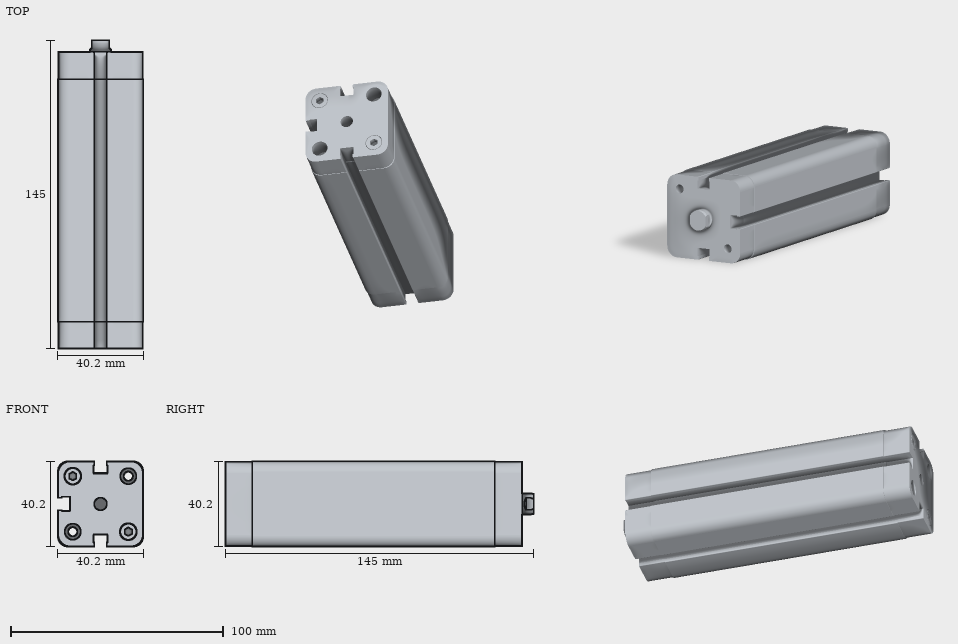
import cadquery as cq
import math

total_length = 145
rod_projection = 5.5
cap_length = 12.8
rear_y = -total_length / 2
front_y = total_length / 2 - rod_projection
tube_rear_y = rear_y + cap_length
tube_front_y = front_y - cap_length

cap_side = 39.7
cap_corner_radius = 5.2
tube_side = 40.2
tube_corner_radius = 5.0

slot_mouth_width = 5.8
slot_inner_width = 6.5
slot_lip = 1.7
slot_mouth_radius = 0.3
cap_slot_depth = 5.7
tube_slot_depth = 5.5
slot_angles = (0, -90, 180)

fixing_offset = 13
through_diameter = 4.2
counterbore_diameter = 7.5
counterbore_depth = 10.0
screw_recess_diameter = 8.0
screw_head_diameter = 7.5
screw_gap_depth = 1.5
hex_across_flats = 3.5
hex_depth = 2.9

centre_hole_diameter = 6.0
centre_hole_depth = 10.0

rod_diameter = 10.0
rod_tip_length = 1.3
rod_tip_step = 0.3
flats_across = 8.3
flat_length = 3.6


def profile_bar(side, corner_radius, slot_depth, start_y, end_y):
    """Rounded square bar along Y with a T slot in its -X, +Z and -Z faces."""
    length = end_y - start_y
    middle_y = (start_y + end_y) / 2
    bar = cq.Workplane("XY").box(side, length, side).edges("|Y").fillet(corner_radius)
    mouth = cq.Workplane("XY").box(slot_mouth_width, length, slot_depth)
    mouth = mouth.translate((0, 0, (side - slot_depth) / 2))
    inner_height = slot_depth - slot_lip
    inner = cq.Workplane("XY").box(slot_inner_width, length, inner_height)
    inner = inner.translate((0, 0, side / 2 - slot_lip - inner_height / 2))
    half_mouth = slot_mouth_width / 2
    round_start_z = side / 2 - slot_mouth_radius
    flare = (
        cq.Workplane("XZ", origin=(0, length / 2, 0))
        .moveTo(-half_mouth - slot_mouth_radius, side / 2)
        .lineTo(half_mouth + slot_mouth_radius, side / 2)
        .radiusArc((half_mouth, round_start_z), -slot_mouth_radius)
        .lineTo(-half_mouth, round_start_z)
        .radiusArc((-half_mouth - slot_mouth_radius, side / 2), -slot_mouth_radius)
        .close()
        .extrude(length)
    )
    slot = mouth.union(inner).union(flare)
    for angle in slot_angles:
        bar = bar.cut(slot.rotate((0, 0, 0), (0, 1, 0), angle))
    return bar.translate((0, middle_y, 0))


def round_along_y(diameter, x, z, start_y, end_y):
    """Solid round bar parallel to Y."""
    direction = cq.Vector(0, 1, 0)
    return cq.Workplane(
        cq.Solid.makeCylinder(diameter / 2, end_y - start_y, cq.Vector(x, start_y, z), direction)
    )


def screw_cutout(x, z):
    """Material removed around a flush screw head: thin ring gap and hex socket."""
    gap = round_along_y(screw_recess_diameter, x, z, rear_y, rear_y + screw_gap_depth)
    head = round_along_y(screw_head_diameter, x, z, rear_y, rear_y + screw_gap_depth)
    hex_across_corners = hex_across_flats / math.cos(math.pi / 6)
    socket = (
        cq.Workplane("XZ", origin=(x, rear_y, z))
        .transformed(rotate=(0, 0, 90))
        .polygon(6, hex_across_corners)
        .extrude(-hex_depth)
    )
    return gap.cut(head).union(socket)


def piston_rod():
    """Rod end with a slim conical tip and two flats that run out at 45 degrees."""
    radius = rod_diameter / 2
    tip_y = total_length / 2
    rod = (
        cq.Workplane("XY")
        .moveTo(0, front_y)
        .lineTo(radius, front_y)
        .lineTo(radius, tip_y - rod_tip_length)
        .lineTo(radius - rod_tip_step, tip_y)
        .lineTo(0, tip_y)
        .close()
        .revolve(360, (0, 0, 0), (0, 1, 0))
    )
    flat_x = flats_across / 2
    flat_cut = (
        cq.Workplane("XY")
        .moveTo(flat_x, tip_y)
        .lineTo(flat_x, tip_y - flat_length)
        .lineTo(flat_x + rod_diameter, tip_y - flat_length - rod_diameter)
        .lineTo(flat_x + rod_diameter, tip_y)
        .close()
        .extrude(radius, both=True)
    )
    return rod.cut(flat_cut).cut(flat_cut.mirror("YZ"))


rear_cap = profile_bar(cap_side, cap_corner_radius, cap_slot_depth, rear_y, tube_rear_y)
tube = profile_bar(tube_side, tube_corner_radius, tube_slot_depth, tube_rear_y, tube_front_y)
front_cap = profile_bar(cap_side, cap_corner_radius, cap_slot_depth, tube_front_y, front_y)
body = rear_cap.union(tube).union(front_cap).union(piston_rod())

for sign in (-1, 1):
    hole_position = sign * fixing_offset
    body = body.cut(round_along_y(through_diameter, hole_position, hole_position, rear_y, front_y))
    counterbore_end_y = rear_y + counterbore_depth
    body = body.cut(
        round_along_y(counterbore_diameter, hole_position, hole_position, rear_y, counterbore_end_y)
    )
    body = body.cut(screw_cutout(hole_position, -hole_position))

result = body.cut(round_along_y(centre_hole_diameter, 0, 0, rear_y, rear_y + centre_hole_depth))